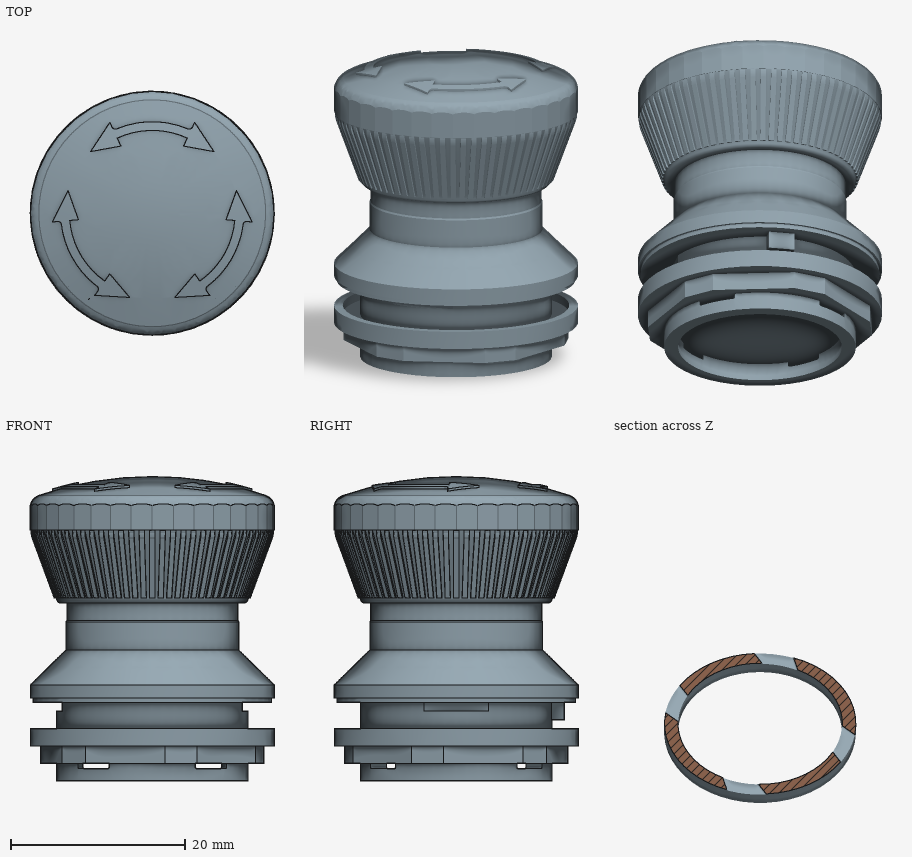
import cadquery as cq
import math

nut_bottom_z = 2.0
nut_flange_z = 4.0
nut_top_z = 6.0
tab_bottom_z = 7.0
flat_bottom_z = 8.0
gasket_bottom_z = 9.0
bezel_bottom_z = 9.5
bezel_top_z = 11.0
cone_top_z = 15.0
neck_chamfer_z = 18.2
sleeve_bottom_z = 18.4
cap_bottom_z = 20.4
rib_bottom_z = 21.0
band_bottom_z = 28.8
cap_top_z = 34.91

body_radius = 22.0 / 2
bore_radius = 18.8 / 2
gasket_radius = 27.4 / 2
bezel_radius = 28.0 / 2
neck_radius = 19.85 / 2
sleeve_radius = 19.65 / 2
sleeve_overlap = 1.0
flat_distance = 10.35
tab_reach = 12.4
tab_width = 3.0
tab_root_depth = 1.0

slot_floor_z = 1.4
slot_floor_fillet = 0.2
slot_clearance = 1.0
slot_inner_x = 4.94
slot_bore_corner = (7.94, 5.0)
slot_rim_corner = (8.5, 6.95)

nut_radius = 28.0 / 2
nut_recess_radius = 26.0 / 2
nut_recess_depth = 1.0
nut_overlap = 0.5
hex_width = 24.0
hex_corner_distance = 12.75
hex_corner_angle = 225.0

facet_count = 36
band_radius = 28.0 / 2
band_blank_radius = band_radius + 0.02
dome_radius = 40.0
cap_fillet = 1.5
cap_edge_fillet = 0.5
rib_count = 72
rib_width = 0.6
rib_height = 0.2
rib_foot_radius = 11.25
rib_head_radius = 13.9
rib_bend_z = 28.2
rib_bend_fillet = 2.0
rib_root_depth = 0.6

arrow_count = 3
first_arrow_angle = 90.0
arrow_radius = 10.0
arrow_shaft_width = 1.0
arrow_head_width = 3.0
arrow_tip_angle = 45.0
arrow_barb_angle = 25.0
arrow_root_fillet = 0.4
arrow_height = 0.25
arrow_base_z = 32.0


def polar(radius, degrees):
    angle = math.radians(degrees)
    return (radius * math.cos(angle), radius * math.sin(angle))


def cylinder(radius, bottom, top):
    return cq.Workplane("XY").workplane(offset=bottom).circle(radius).extrude(top - bottom)


def revolved(profile):
    return profile.close().revolve(360, (0, 0, 0), (0, 1, 0))


def make_body():
    """Turned body from the foot up to the sleeve that runs into the cap."""
    sleeve_top_z = cap_bottom_z + sleeve_overlap
    body = revolved(
        cq.Workplane("XZ")
        .moveTo(0, 0)
        .lineTo(body_radius, 0)
        .lineTo(body_radius, gasket_bottom_z)
        .lineTo(gasket_radius, gasket_bottom_z)
        .lineTo(gasket_radius, bezel_bottom_z)
        .lineTo(bezel_radius, bezel_bottom_z)
        .lineTo(bezel_radius, bezel_top_z)
        .lineTo(neck_radius, cone_top_z)
        .lineTo(neck_radius, neck_chamfer_z)
        .lineTo(sleeve_radius, sleeve_bottom_z)
        .lineTo(sleeve_radius, sleeve_top_z)
        .lineTo(0, sleeve_top_z)
    )
    return cut_slots(cut_flats(body)).union(make_tab())


def cut_flats(body):
    """Two flats on the X sides, just under the gasket."""
    depth = body_radius - flat_distance
    height = gasket_bottom_z - flat_bottom_z
    for side in (-1, 1):
        flat = cq.Workplane("XY").box(depth, 2 * body_radius, height).translate(
            (side * (flat_distance + depth / 2), 0, flat_bottom_z + height / 2)
        )
        body = body.cut(flat)
    return body


def cut_slots(body):
    """Shallow bore in the foot with four mirrored slots through its wall."""
    body = body.cut(cylinder(bore_radius, 0, nut_bottom_z))
    run = slot_rim_corner[0] - slot_bore_corner[0]
    rise = slot_rim_corner[1] - slot_bore_corner[1]
    outside_y = body_radius + slot_clearance
    outside_x = slot_rim_corner[0] + (outside_y - slot_rim_corner[1]) * run / rise
    slot = (
        cq.Workplane("XY")
        .workplane(offset=slot_floor_z)
        .moveTo(slot_inner_x, slot_bore_corner[1])
        .lineTo(*slot_bore_corner)
        .lineTo(outside_x, outside_y)
        .lineTo(slot_inner_x, outside_y)
        .close()
        .extrude(nut_bottom_z - slot_floor_z)
    )
    slot = slot.faces("<Z").edges().fillet(slot_floor_fillet)
    slots = slot.union(slot.mirror("YZ"))
    return body.cut(slots).cut(slots.mirror("XZ"))


def make_tab():
    """Locating tab on the +Y side, hanging from the gasket."""
    inner_y = body_radius - tab_root_depth
    length = tab_reach - inner_y
    height = gasket_bottom_z - tab_bottom_z
    return cq.Workplane("XY").box(tab_width, length, height).translate(
        (0, inner_y + length / 2, tab_bottom_z + height / 2)
    )


def hex_prism(width_across_flats, height):
    corner_diameter = width_across_flats / math.cos(math.radians(30))
    return cq.Workplane("XY").polygon(6, corner_diameter).extrude(height)


def make_nut():
    """Recessed round flange over a hexagon with flattened corners."""
    hex_height = nut_flange_z - nut_bottom_z
    corner_flats = hex_prism(2 * hex_corner_distance, hex_height)
    corner_flats = corner_flats.rotate((0, 0, 0), (0, 0, 1), 30)
    hexagon = hex_prism(hex_width, hex_height).intersect(corner_flats)
    hexagon = hexagon.translate((0, 0, nut_bottom_z))
    recess = cylinder(nut_recess_radius, nut_top_z - nut_recess_depth, nut_top_z)
    nut = cylinder(nut_radius, nut_flange_z, nut_top_z).cut(recess).union(hexagon)
    nut = nut.rotate((0, 0, 0), (0, 0, 1), hex_corner_angle)
    bore = cylinder(body_radius - nut_overlap, nut_bottom_z, nut_top_z)
    return nut.cut(bore)


def dome_sphere(raise_by):
    """Ball whose crown is the dome, or lies evenly above it."""
    return cq.Workplane("XY").sphere(dome_radius + raise_by).translate(
        (0, 0, cap_top_z - dome_radius)
    )


def make_cap():
    """Domed cap: faceted band above a ribbed cone."""
    blank = cylinder(band_blank_radius, band_bottom_z, cap_top_z).intersect(dome_sphere(0))
    blank = blank.faces(">Z").edges().fillet(cap_fillet)
    facets = (
        cq.Workplane("XY")
        .workplane(offset=band_bottom_z)
        .polygon(facet_count, 2 * band_radius)
        .extrude(cap_top_z - band_bottom_z)
    )
    return blank.intersect(facets).union(make_cone()).union(make_ribs())


def rib_radius(z):
    """Radius of the sloping rib crest at height z."""
    slope = (rib_head_radius - rib_foot_radius) / (rib_bend_z - rib_bottom_z)
    return rib_foot_radius + slope * (z - rib_bottom_z)


def make_cone():
    """Cone between the ribs, rounded at its lower edge."""
    cone = revolved(
        cq.Workplane("XZ")
        .moveTo(0, cap_bottom_z)
        .lineTo(rib_radius(cap_bottom_z) - rib_height, cap_bottom_z)
        .lineTo(rib_radius(band_bottom_z) - rib_height, band_bottom_z)
        .lineTo(0, band_bottom_z)
    )
    return cone.faces("<Z").edges().fillet(cap_edge_fillet)


def make_ribs():
    """Straight ribs of constant width that follow the cone."""
    rib = (
        cq.Workplane("XZ")
        .moveTo(rib_foot_radius - rib_root_depth, rib_bottom_z)
        .lineTo(rib_foot_radius, rib_bottom_z)
        .lineTo(rib_head_radius, rib_bend_z)
        .lineTo(rib_head_radius, band_bottom_z)
        .lineTo(rib_head_radius - rib_root_depth, band_bottom_z)
        .close()
        .extrude(rib_width / 2, both=True)
    )
    bend = cq.selectors.NearestToPointSelector((rib_head_radius, 0, rib_bend_z))
    rib = rib.edges("|Y").edges(bend).fillet(rib_bend_fillet).val()
    step = 360.0 / rib_count
    ribs = [rib.rotate((0, 0, 0), (0, 0, 1), i * step) for i in range(rib_count)]
    return cq.Workplane(cq.Compound.makeCompound(ribs))


def make_arrow(middle_angle):
    """Double-headed curved arrow, raised evenly above the dome."""
    inner = arrow_radius - arrow_shaft_width / 2
    outer = arrow_radius + arrow_shaft_width / 2
    barb_inner = arrow_radius - arrow_head_width / 2
    barb_outer = arrow_radius + arrow_head_width / 2
    right_barb = middle_angle - arrow_barb_angle
    left_barb = middle_angle + arrow_barb_angle
    outline = (
        cq.Workplane("XY")
        .workplane(offset=arrow_base_z)
        .moveTo(*polar(outer, right_barb))
        .threePointArc(polar(outer, middle_angle), polar(outer, left_barb))
        .lineTo(*polar(barb_outer, left_barb))
        .lineTo(*polar(arrow_radius, middle_angle + arrow_tip_angle))
        .lineTo(*polar(barb_inner, left_barb))
        .lineTo(*polar(inner, left_barb))
        .threePointArc(polar(inner, middle_angle), polar(inner, right_barb))
        .lineTo(*polar(barb_inner, right_barb))
        .lineTo(*polar(arrow_radius, middle_angle - arrow_tip_angle))
        .lineTo(*polar(barb_outer, right_barb))
        .close()
    )
    arrow = outline.extrude(cap_top_z - arrow_base_z)
    for barb in (left_barb, right_barb):
        root = cq.selectors.NearestToPointSelector(polar(outer, barb) + (cap_top_z,))
        arrow = arrow.edges("|Z").edges(root).fillet(arrow_root_fillet)
    return arrow.intersect(dome_sphere(arrow_height))


result = make_body().union(make_nut()).union(make_cap())
for i in range(arrow_count):
    result = result.union(make_arrow(first_arrow_angle + i * 360.0 / arrow_count))